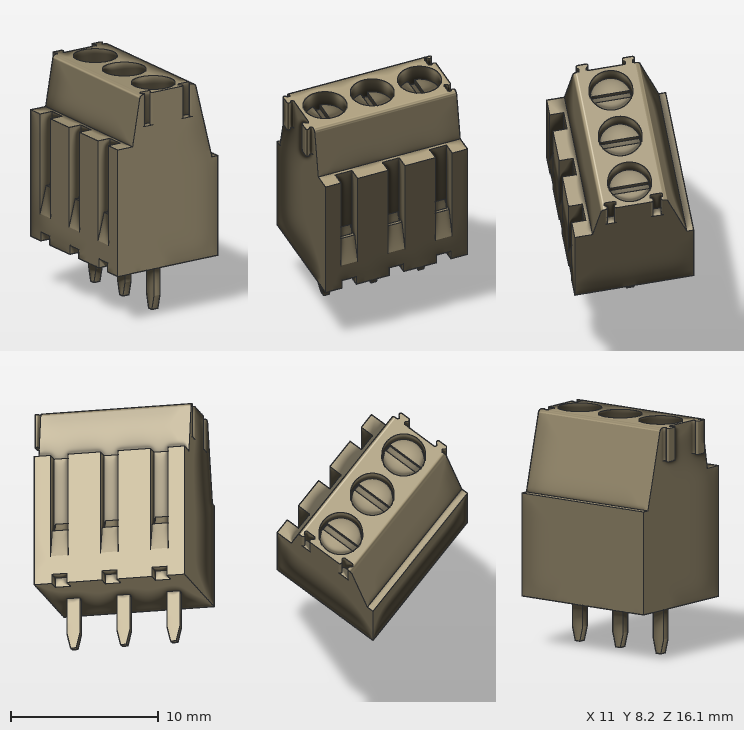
import cadquery as cq
import math


poles = 3
pitch = 3.5
length = 10.5
depth = 8.2
overall_height = 16.1
pin_length = 3.5
height = overall_height - pin_length
front_shoulder_height = 9.03
front_shoulder_depth = 1.22
back_shoulder_height = 7.12
back_shoulder_depth = 0.48
top_width = 4.5
top_edge_radius = 0.3

bore_diameter = 2.98
screw_diameter = 2.8
screw_recess = 1.05
slot_width = 0.5
slot_depth = 0.35
screw_gap_depth = 0.48

entry_width = 1.24
entry_depth = 0.97
entry_bottom = 1.92
ledge_height = 3.85
ledge_depth = 0.5
wedge_width = 1.05
wedge_height = 0.6
wedge_thickness = 0.25

notch_width = 1.05
notch_height = 0.65
notch_depth = 0.97

pin_width = 0.9
pin_thickness = 0.5
pin_tip_width = 0.4
pin_taper_length = 1.01

rail_reach = 0.5
rail_height = 2.3
rail_head_width = 0.82
rail_radius = 0.13
rail_spacing = 3.19

back_groove_reach = 0.55
back_groove_head_width = 0.87
back_groove_radius = 0.15

front = -depth / 2
back = depth / 2
pole_positions = [(i - (poles - 1) / 2) * pitch for i in range(poles)]


def extrude_side_profile(points, width, x=0):
    """Extrude a closed (y, z) outline along X, centred on x."""
    profile = cq.Workplane("YZ").polyline(points).close()
    return profile.extrude(width / 2, both=True).translate((x, 0, 0))


def make_housing():
    outline = [
        (front, 0),
        (front, front_shoulder_height),
        (front + front_shoulder_depth, front_shoulder_height),
        (-top_width / 2, height),
        (top_width / 2, height),
        (back - back_shoulder_depth, back_shoulder_height),
        (back, back_shoulder_height),
        (back, 0),
    ]
    block = extrude_side_profile(outline, length)
    return block.faces(">Z").edges("|X").fillet(top_edge_radius)


def make_screw_recess(x):
    """Bore around a slotted screw head, with a narrow gap beside the head deeper than its slot."""
    bore_depth = screw_recess + screw_gap_depth
    bore_floor = cq.Workplane("XY", origin=(x, 0, height - bore_depth))
    bore = bore_floor.circle(bore_diameter / 2).extrude(bore_depth)
    head = bore_floor.circle(screw_diameter / 2).extrude(screw_gap_depth)
    slot_floor = cq.Workplane("XY", origin=(x, 0, height - screw_recess - slot_depth))
    slot = slot_floor.rect(slot_width, bore_diameter).extrude(slot_depth)
    return bore.cut(head.cut(slot))


def make_wire_entry(x):
    """Open-topped channel with a ramp, a ledge and a small wedge on the ledge."""
    channel_back = front + entry_depth
    channel = [
        (front, entry_bottom),
        (front + ledge_depth, ledge_height),
        (channel_back, ledge_height),
        (channel_back, front_shoulder_height),
        (front, front_shoulder_height),
    ]
    wedge = [
        (channel_back - wedge_thickness, ledge_height),
        (channel_back, ledge_height),
        (channel_back, ledge_height + wedge_height),
    ]
    return extrude_side_profile(channel, entry_width, x).cut(extrude_side_profile(wedge, wedge_width, x))


def make_notch(x):
    notch = cq.Workplane("XY").box(notch_width, notch_depth, notch_height, centered=(True, False, False))
    return notch.translate((x, front, 0))


def make_pin(x):
    taper_start = pin_taper_length - pin_length
    outline = [
        (-pin_width / 2, 0),
        (-pin_width / 2, taper_start),
        (-pin_tip_width / 2, -pin_length),
        (pin_tip_width / 2, -pin_length),
        (pin_width / 2, taper_start),
        (pin_width / 2, 0),
    ]
    pin = cq.Workplane("XZ").polyline(outline).close().extrude(pin_thickness / 2, both=True)
    return pin.translate((x, 0, 0))


def make_rail(x, y, reach=rail_reach, head_width=rail_head_width, r=rail_radius):
    """Rail with rounded head corners and concave neck sides, reaching out in -X from x."""
    head_x = r - reach
    head_y = head_width / 2 - r
    neck_x = -r
    neck_y = head_y + math.sqrt((2 * r) ** 2 - (neck_x - head_x) ** 2)
    join = ((head_x + neck_x) / 2, (head_y + neck_y) / 2)
    head_crest = (head_x, head_y + r)
    neck_low = (neck_x, neck_y - r)
    root = (0, neck_y)

    def mirrored(point):
        return (point[0], -point[1])

    profile = (
        cq.Workplane("XY", origin=(x, y, height - rail_height))
        .moveTo(-reach, -head_y)
        .lineTo(-reach, head_y)
        .threePointArc(head_crest, join)
        .threePointArc(neck_low, root)
        .lineTo(*mirrored(root))
        .threePointArc(mirrored(neck_low), mirrored(join))
        .threePointArc(mirrored(head_crest), (-reach, -head_y))
        .close()
    )
    return profile.extrude(rail_height)


result = make_housing()
for pole_x in pole_positions:
    result = result.cut(make_screw_recess(pole_x))
    result = result.cut(make_wire_entry(pole_x))
    result = result.cut(make_notch(pole_x))
    result = result.union(make_pin(pole_x))
front_rail_y = -rail_spacing / 2
back_rail_y = rail_spacing / 2
for rail_y in (front_rail_y, back_rail_y):
    result = result.union(make_rail(-length / 2, rail_y))
result = result.cut(make_rail(length / 2, front_rail_y))
result = result.cut(
    make_rail(length / 2, back_rail_y, back_groove_reach, back_groove_head_width, back_groove_radius)
)